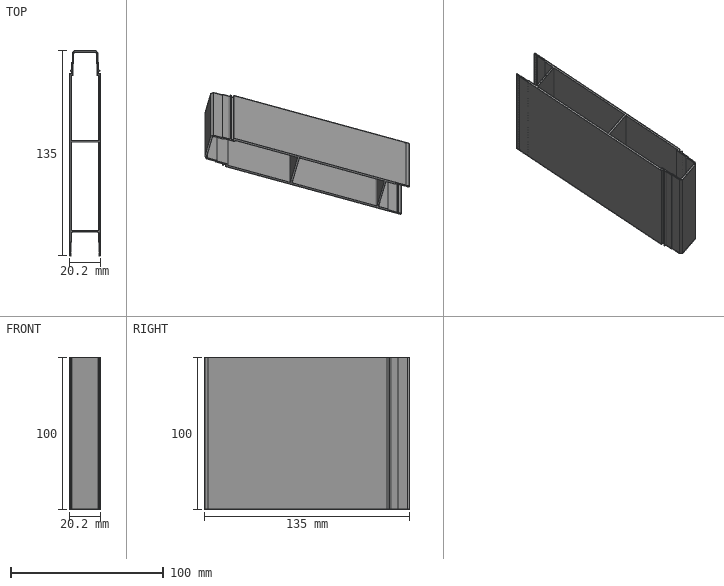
import cadquery as cq
import math

HEIGHT = 100.0
LENGTH = 135.0
WIDTH = 20.2

WALL = 1.25
LOWER_WEB_WALL = 1.05
THIN_WALL = 0.8

TONGUE_STEP = 7.7
SHOULDER = 15.05
TONGUE_ROOT = SHOULDER + WALL
MIDDLE_WEB = 58.9
LOWER_WEB = 118.2
LIP_START = 125.8

STEP_DEPTH = 0.4
TONGUE_BASE_HALF = 8.8
TONGUE_TIP_HALF = TONGUE_BASE_HALF - STEP_DEPTH
TIP_CHAMFER = 1.5
TIP_CHAMFER_ACROSS = 1.3
TIP_INNER_CHAMFER = 0.65

BARB_CREST = 12.95
BARB_CREST_LENGTH = 0.4
BARB_END = 13.8
BARB_REACH = 0.9
GROOVE_CENTRE = 132.6
GROOVE_DEPTH = 0.5
GROOVE_HALF = 0.5

LIP_END_CHAMFER = 0.3
WEB_FILLET = 0.55

HALF_WIDTH = WIDTH / 2
BODY_INNER_HALF = HALF_WIDTH - WALL
LIP_INNER_HALF = HALF_WIDTH - THIN_WALL


def extrude_outline(points):
    """Extrude a closed outline of (x, distance from tongue end) points."""
    outline = [(x, LENGTH / 2 - distance) for x, distance in points]
    return cq.Workplane("XY").polyline(outline).close().extrude(HEIGHT)


def make_side_wall():
    """Full-length wall on the +X side: half tongue, body wall and lip."""
    tip_inner_half = TONGUE_TIP_HALF - THIN_WALL
    base_inner_half = TONGUE_BASE_HALF - THIN_WALL
    inner_step = TONGUE_STEP + THIN_WALL
    return extrude_outline([
        (0, 0),
        (TONGUE_TIP_HALF - TIP_CHAMFER_ACROSS, 0),
        (TONGUE_TIP_HALF, TIP_CHAMFER),
        (TONGUE_TIP_HALF, TONGUE_STEP),
        (TONGUE_BASE_HALF, TONGUE_STEP),
        (TONGUE_BASE_HALF, SHOULDER),
        (HALF_WIDTH, SHOULDER),
        (HALF_WIDTH, LENGTH - LIP_END_CHAMFER),
        (HALF_WIDTH - LIP_END_CHAMFER, LENGTH),
        (LIP_INNER_HALF, LENGTH),
        (LIP_INNER_HALF, GROOVE_CENTRE + GROOVE_HALF),
        (LIP_INNER_HALF + GROOVE_DEPTH, GROOVE_CENTRE),
        (LIP_INNER_HALF, GROOVE_CENTRE - GROOVE_HALF),
        (LIP_INNER_HALF, LIP_START),
        (BODY_INNER_HALF, LIP_START),
        (BODY_INNER_HALF, TONGUE_ROOT),
        (base_inner_half, TONGUE_ROOT),
        (base_inner_half, inner_step),
        (tip_inner_half, inner_step),
        (tip_inner_half, WALL + TIP_INNER_CHAMFER),
        (tip_inner_half - TIP_INNER_CHAMFER, WALL),
        (0, WALL),
    ])


def make_barb():
    """Snap barb on the +X tongue wall, with a concave lead-in and sloped back."""
    root = TONGUE_BASE_HALF - THIN_WALL / 2
    tip = TONGUE_BASE_HALF + BARB_REACH
    start_y = LENGTH / 2 - BARB_CREST + BARB_REACH
    crest_y = LENGTH / 2 - BARB_CREST
    end_y = LENGTH / 2 - BARB_END
    arc_inset = BARB_REACH * (1 - math.sqrt(0.5))
    return (
        cq.Workplane("XY")
        .moveTo(root, start_y)
        .lineTo(TONGUE_BASE_HALF, start_y)
        .threePointArc((TONGUE_BASE_HALF + arc_inset, crest_y + arc_inset), (tip, crest_y))
        .lineTo(tip, crest_y - BARB_CREST_LENGTH)
        .lineTo(TONGUE_BASE_HALF, end_y)
        .lineTo(root, end_y)
        .close()
        .extrude(HEIGHT)
    )


def make_web(distance, thickness):
    """Cross web joining the inner faces of the two body walls."""
    far = distance + thickness
    half = BODY_INNER_HALF
    return extrude_outline([(-half, distance), (half, distance), (half, far), (-half, far)])


def web_corners(body, distance, thickness):
    """Vertical edges where a web meets the body walls."""
    margin = 0.1
    near_y = LENGTH / 2 - distance + margin
    far_y = LENGTH / 2 - distance - thickness - margin
    reach = BODY_INNER_HALF + margin
    corner_box = cq.selectors.BoxSelector((-reach, far_y, -margin), (reach, near_y, HEIGHT + margin))
    return body.edges("|Z").edges(corner_box)


side_wall = make_side_wall().union(make_barb())
panel = side_wall.union(side_wall.mirror("YZ"))
panel = panel.union(make_web(MIDDLE_WEB, WALL))
panel = panel.union(make_web(LOWER_WEB, LOWER_WEB_WALL))
result = web_corners(panel, LOWER_WEB, LOWER_WEB_WALL).fillet(WEB_FILLET)